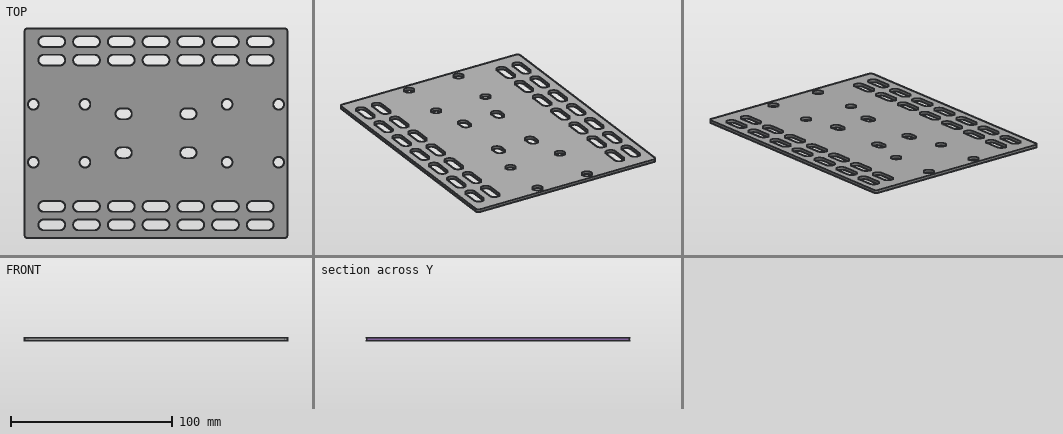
import cadquery as cq

LENGTH = 163.1
WIDTH = 130.0
THICKNESS = 2.0
CORNER_RADIUS = 2.0

BORE = 6.5

LONG_SLOT_LENGTH = 16.5
SLOTS_PER_ROW = 7
SLOT_PITCH = 21.5
OUTER_ROW_Y = 56.8
INNER_ROW_Y = 45.3

OUTER_HOLE_X = 76.0
INNER_HOLE_X = 44.0
HOLE_Y = 18.0

SHORT_SLOT_LENGTH = 10.0
SHORT_SLOT_X = 20.0
SHORT_SLOT_Y = 12.0


def mirrored(x, y):
    """Four points mirrored about both centre lines."""
    return [(sx * x, sy * y) for sx in (-1, 1) for sy in (-1, 1)]


def plate():
    body = cq.Workplane("XY").box(LENGTH, WIDTH, THICKNESS)
    return body.edges("|Z").fillet(CORNER_RADIUS)


def cut_slots(body, points, length):
    return body.faces(">Z").workplane().pushPoints(points).slot2D(length, BORE).cutThruAll()


def cut_holes(body, points):
    return body.faces(">Z").workplane().pushPoints(points).hole(BORE)


def long_slot_points():
    first_x = -SLOT_PITCH * (SLOTS_PER_ROW - 1) / 2
    columns = [first_x + i * SLOT_PITCH for i in range(SLOTS_PER_ROW)]
    rows = [-OUTER_ROW_Y, -INNER_ROW_Y, INNER_ROW_Y, OUTER_ROW_Y]
    return [(x, y) for x in columns for y in rows]


result = plate()
result = cut_slots(result, long_slot_points(), LONG_SLOT_LENGTH)
result = cut_slots(result, mirrored(SHORT_SLOT_X, SHORT_SLOT_Y), SHORT_SLOT_LENGTH)
result = cut_holes(result, mirrored(OUTER_HOLE_X, HOLE_Y) + mirrored(INNER_HOLE_X, HOLE_Y))